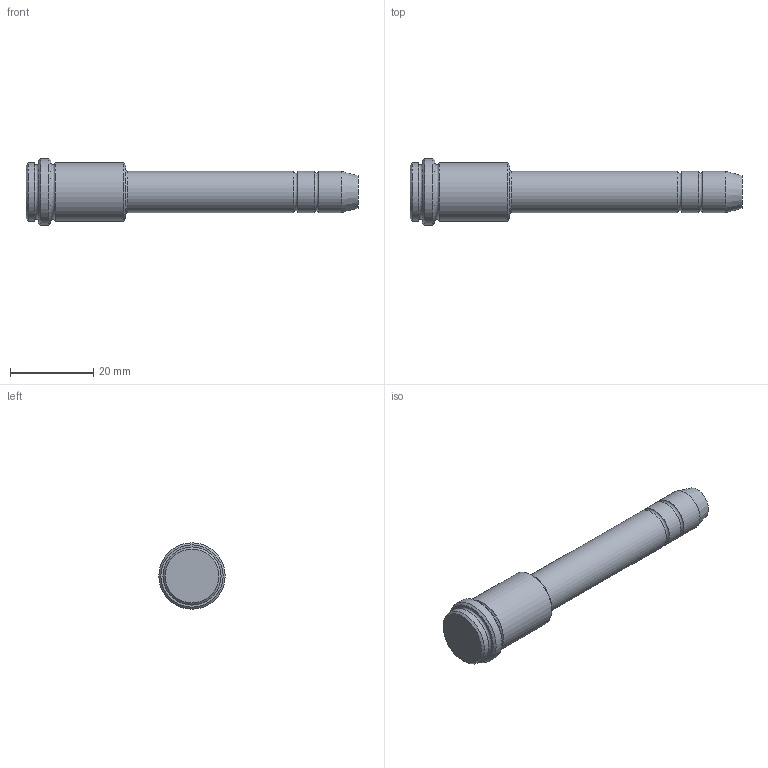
import cadquery as cq
import math

total_length = 80.0
head_radius = 7.0
flange_radius = 8.0
shank_radius = 5.0

head_length = 24.0
edge_chamfer = 0.5
shank_fillet = 0.5

groove_width = 1.0
groove_radius = groove_width / 2
head_groove_start = 2.0
flange_start = head_groove_start + groove_width
flange_width = 3.0
flange_end = flange_start + flange_width

shank_groove_starts = (64.5, 69.5)

tip_length = 4.0
tip_half_angle = 15.0
tip_radius = shank_radius - tip_length * math.tan(math.radians(tip_half_angle))


def cylinder(start, end, radius):
    """Solid cylinder along X between two X positions."""
    return cq.Workplane("YZ").workplane(offset=start).circle(radius).extrude(end - start)


def make_head():
    """Cylindrical head with both rims chamfered."""
    return cylinder(0, head_length, head_radius).edges().chamfer(edge_chamfer)


def make_flange():
    """Collar around the head with both rims chamfered."""
    return cylinder(flange_start, flange_end, flange_radius).edges().chamfer(edge_chamfer)


def make_shank():
    """Plain shank with a filleted root at the head and a conical tip."""
    tip_start = total_length - tip_length
    root_end = head_length + shank_fillet
    arc_offset = shank_fillet * (1 - math.sqrt(0.5))
    return (
        cq.Workplane("XY")
        .moveTo(head_length, 0)
        .lineTo(head_length, shank_radius + shank_fillet)
        .threePointArc(
            (head_length + arc_offset, shank_radius + arc_offset),
            (root_end, shank_radius),
        )
        .lineTo(tip_start, shank_radius)
        .lineTo(total_length, tip_radius)
        .lineTo(total_length, 0)
        .close()
        .revolve(360, (0, 0, 0), (1, 0, 0))
    )


def round_groove(start, surface_radius):
    """Ring that cuts a half-round groove into a cylindrical surface."""
    centre_x = start + groove_radius
    return (
        cq.Workplane("XY")
        .center(centre_x, surface_radius)
        .circle(groove_radius)
        .revolve(360, (0, -surface_radius, 0), (1, -surface_radius, 0))
    )


head = make_head()
for groove_start in (head_groove_start, flange_end):
    head = head.cut(round_groove(groove_start, head_radius))

shank = make_shank()
for groove_start in shank_groove_starts:
    shank = shank.cut(round_groove(groove_start, shank_radius))

result = head.union(make_flange()).union(shank)